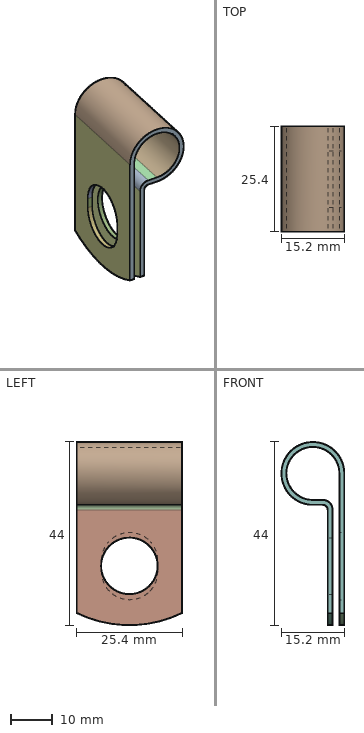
import cadquery as cq
import math

height = 44.05
width = 25.4
outer_radius = 7.6
thickness = 1.25
leg_gap = 1.6
bend_inner_radius = 1.1
hole_diameter = 13.55
hole_drop = 22.2
slot_flat = 2.65
end_sagitta = 2.95

inner_radius = outer_radius - thickness
bend_outer_radius = bend_inner_radius + thickness
bottom = outer_radius - height
short_leg_outer = inner_radius - leg_gap
short_leg_inner = short_leg_outer - thickness
bend_x = short_leg_inner - bend_inner_radius
bend_z = -outer_radius - bend_inner_radius
half_width = width / 2


def on_circle(radius, angle, center_x=0.0, center_z=0.0):
    """Point on a circle in the XZ plane, angle in degrees."""
    turn = math.radians(angle)
    return (center_x + radius * math.cos(turn), center_z + radius * math.sin(turn))


def make_strip():
    """Bent strip: long leg, loop, reverse bend and short leg."""
    return (
        cq.Workplane("XZ")
        .moveTo(outer_radius, bottom)
        .lineTo(outer_radius, 0)
        .threePointArc(on_circle(outer_radius, 135), (0, -outer_radius))
        .lineTo(bend_x, -outer_radius)
        .threePointArc(on_circle(bend_inner_radius, 45, bend_x, bend_z), (short_leg_inner, bend_z))
        .lineTo(short_leg_inner, bottom)
        .lineTo(short_leg_outer, bottom)
        .lineTo(short_leg_outer, bend_z)
        .threePointArc(on_circle(bend_outer_radius, 45, bend_x, bend_z), (bend_x, -inner_radius))
        .lineTo(0, -inner_radius)
        .threePointArc(on_circle(inner_radius, 135), (inner_radius, 0))
        .lineTo(inner_radius, bottom)
        .close()
        .extrude(half_width, both=True)
    )


def make_side_outline():
    """Side silhouette, with a shallow arc along the bottom, extruded across the part."""
    corner_z = bottom + end_sagitta
    return (
        cq.Workplane("YZ")
        .moveTo(-half_width, outer_radius)
        .lineTo(-half_width, corner_z)
        .threePointArc((0, bottom), (half_width, corner_z))
        .lineTo(half_width, outer_radius)
        .close()
        .extrude(outer_radius, both=True)
    )


def make_round_hole():
    """Round bolt hole through the short leg."""
    return (
        cq.Workplane("YZ", origin=(short_leg_inner, 0, -hole_drop))
        .circle(hole_diameter / 2)
        .extrude(thickness)
    )


def make_slot():
    """Upright bolt slot through the long leg, as wide as the round hole."""
    return (
        cq.Workplane("YZ", origin=(inner_radius, 0, -hole_drop))
        .slot2D(hole_diameter + slot_flat, hole_diameter, angle=90)
        .extrude(thickness)
    )


strip = make_strip().intersect(make_side_outline())
result = strip.cut(make_round_hole()).cut(make_slot())